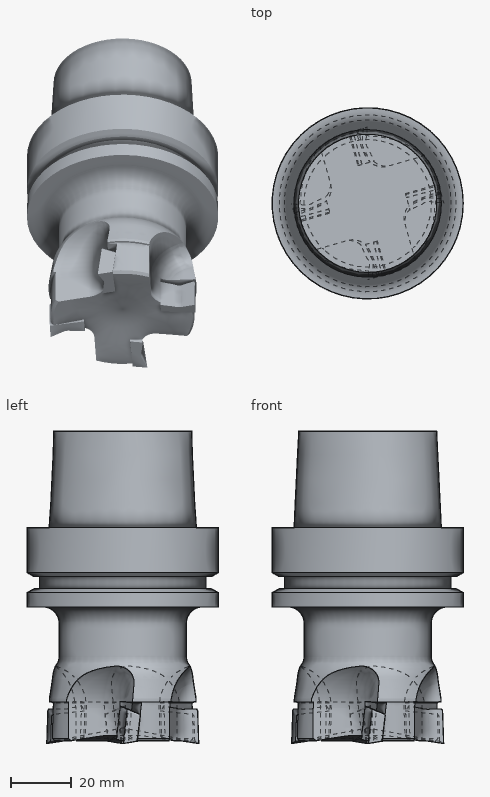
import cadquery as cq
import math

TOTAL_HEIGHT = 102.9
SHANK_TOP_RADIUS = 22.7
SHANK_BASE_RADIUS = 24.3
FLANGE_RADIUS = 63.0 / 2
FLANGE_TOP = 71.1
FLANGE_BOTTOM = 45.0
GROOVE_RADIUS = 55.0 / 2
GROOVE_SHOULDER_RADIUS = 29.1
GROOVE_TOP = 55.0
GROOVE_BOTTOM = 51.0
GROOVE_BEVEL_HEIGHT = 1.3
NECK_RADIUS = 42.0 / 2
NECK_FILLET_RADIUS = 52.5 / 2 - NECK_RADIUS
NECK_BOTTOM = 28.5

HEAD_TOP = 26.8
HEAD_TOP_RADIUS = 21.4
HEAD_FLARE_SAG = 0.1
DOME_MIDDLE = 24.2
DOME_MIDDLE_RADIUS = 22.7
DOME_BOTTOM = 21.2
DOME_BOTTOM_RADIUS = 23.5
RIM_TOP = 14.8
RIM_BOTTOM = 13.8
RIM_RADIUS = 24.4
HEAD_RADIUS = 23.7
HEAD_BOTTOM = 0.9
HEAD_CHAMFER = 0.8
DISH_HEIGHT = 5.1

TEETH = 4
POCKET_X = 11.0
POCKET_Y = -2.4
POCKET_TURN = 16.0
SIDE_WALL_LEAN = 7.0
POCKET_STRAIGHT = 11.6
RUNOUT_RADIUS = 14.4
POCKET_CORNER_RADIUS = 5.7
OVERCUT = 41.2

INSERT_INNER = 2.9
INSERT_OUTER = 14.2
INSERT_BACK = 3.3
LAND_RISE = 0.7
LAND_END = 7.3
RAKE_START = 9.7
RAKE_START_DEPTH = 0.2
BREAKER_MIDDLE_DEPTH = 0.3
TIP_RISE = 1.4
INSERT_HEIGHT = 11.5
RELIEF_ANGLE = 16.0
DISH_ANGLE = 6.0
TIP_FILLET = 0.8
SEAT_TOP = 13.9


def make_holder_blank():
    neck_top = FLANGE_BOTTOM - NECK_FILLET_RADIUS
    fillet_mid = NECK_FILLET_RADIUS * (1 - math.sqrt(0.5))
    flare_middle = ((NECK_RADIUS + HEAD_TOP_RADIUS) / 2 - HEAD_FLARE_SAG,
                    (NECK_BOTTOM + HEAD_TOP) / 2)
    return (
        cq.Workplane("XZ")
        .moveTo(0, TOTAL_HEIGHT)
        .lineTo(SHANK_TOP_RADIUS, TOTAL_HEIGHT)
        .lineTo(SHANK_BASE_RADIUS, FLANGE_TOP)
        .lineTo(FLANGE_RADIUS, FLANGE_TOP)
        .lineTo(FLANGE_RADIUS, GROOVE_TOP + GROOVE_BEVEL_HEIGHT)
        .lineTo(GROOVE_SHOULDER_RADIUS, GROOVE_TOP)
        .lineTo(GROOVE_RADIUS, GROOVE_TOP)
        .lineTo(GROOVE_RADIUS, GROOVE_BOTTOM)
        .lineTo(GROOVE_SHOULDER_RADIUS, GROOVE_BOTTOM)
        .lineTo(FLANGE_RADIUS, GROOVE_BOTTOM - GROOVE_BEVEL_HEIGHT)
        .lineTo(FLANGE_RADIUS, FLANGE_BOTTOM)
        .lineTo(NECK_RADIUS + NECK_FILLET_RADIUS, FLANGE_BOTTOM)
        .threePointArc((NECK_RADIUS + fillet_mid, FLANGE_BOTTOM - fillet_mid), (NECK_RADIUS, neck_top))
        .lineTo(NECK_RADIUS, NECK_BOTTOM)
        .threePointArc(flare_middle, (HEAD_TOP_RADIUS, HEAD_TOP))
        .threePointArc((DOME_MIDDLE_RADIUS, DOME_MIDDLE), (DOME_BOTTOM_RADIUS, DOME_BOTTOM))
        .lineTo(RIM_RADIUS, RIM_TOP)
        .lineTo(RIM_RADIUS, RIM_BOTTOM)
        .lineTo(HEAD_RADIUS, RIM_BOTTOM)
        .lineTo(HEAD_RADIUS, HEAD_BOTTOM + HEAD_CHAMFER)
        .lineTo(HEAD_RADIUS - HEAD_CHAMFER, HEAD_BOTTOM)
        .lineTo(0, DISH_HEIGHT)
        .close()
        .revolve(360, (0, 0), (0, 1))
    )


def lean(shape):
    """Tip a shape in the tooth frame so that it follows the side wall."""
    return shape.rotate((0, 0, 0), (1, 0, 0), -SIDE_WALL_LEAN)


def make_pocket_cut():
    """Chip pocket: flat floor that curves outward at the top, rounded into a leaning side wall."""
    arc_mid = RUNOUT_RADIUS * (1 - math.sqrt(0.5))
    pocket_top = POCKET_STRAIGHT + RUNOUT_RADIUS
    pocket = (
        cq.Workplane("XZ")
        .moveTo(0, -OVERCUT)
        .lineTo(0, POCKET_STRAIGHT)
        .threePointArc((arc_mid, pocket_top - arc_mid), (RUNOUT_RADIUS, pocket_top))
        .lineTo(OVERCUT, pocket_top)
        .lineTo(OVERCUT, -OVERCUT)
        .close()
        .extrude(OVERCUT, both=True)
    )
    beside_wall = cq.Workplane("XY").box(
        4 * OVERCUT, 2 * OVERCUT, 4 * OVERCUT, centered=(True, False, True)
    ).translate((0, -2 * OVERCUT, 0))
    pocket = pocket.intersect(lean(beside_wall))
    side_wall = pocket.faces(">Y")
    floor_corner = side_wall.edges("not(<Z or >X)")
    return floor_corner.fillet(POCKET_CORNER_RADIUS)


def make_seat_cut():
    """Recess in the side wall that holds the insert and is open below and outward."""
    return cq.Workplane("XY").box(
        OVERCUT, INSERT_BACK + POCKET_CORNER_RADIUS, SEAT_TOP + OVERCUT, centered=False
    ).translate((INSERT_INNER, -POCKET_CORNER_RADIUS, -OVERCUT))


def make_insert_blank():
    """Plate with a sloping land, a hollow chip breaker and a rake face rising to the cutting edge."""
    plate = (
        cq.Workplane("XY", origin=(0, 0, -OVERCUT))
        .moveTo(INSERT_INNER, INSERT_BACK)
        .lineTo(INSERT_INNER, -LAND_RISE)
        .lineTo(LAND_END, 0)
        .threePointArc(((LAND_END + RAKE_START) / 2, BREAKER_MIDDLE_DEPTH), (RAKE_START, RAKE_START_DEPTH))
        .lineTo(INSERT_OUTER, -TIP_RISE)
        .lineTo(INSERT_OUTER, INSERT_BACK)
        .close()
        .extrude(2 * OVERCUT)
    )
    relief = (INSERT_BACK + TIP_RISE) * math.tan(math.radians(RELIEF_ANGLE))
    tip_bottom = -TIP_RISE * math.tan(math.radians(SIDE_WALL_LEAN))
    between_ends = (
        cq.Workplane("YZ", origin=(-OVERCUT, 0, 0))
        .polyline([
            (-TIP_RISE, 0),
            (INSERT_BACK, relief),
            (INSERT_BACK, INSERT_HEIGHT - relief),
            (-TIP_RISE, INSERT_HEIGHT),
        ])
        .close()
        .extrude(2 * OVERCUT)
        .rotate((0, 0, 0), (0, 1, 0), DISH_ANGLE)
        .translate((INSERT_OUTER, 0, tip_bottom))
    )
    insert = plate.intersect(between_ends)
    return insert.faces(">X").edges(">Z").fillet(TIP_FILLET)


def place_on_head(shape, tooth):
    """Move a shape from the tooth frame to the given tooth of the head."""
    origin = (0, 0, 0)
    return (
        shape.rotate(origin, (0, 0, 1), POCKET_TURN)
        .translate((POCKET_X, POCKET_Y, 0))
        .rotate(origin, (0, 0, 1), tooth * 360 / TEETH)
    )


holder = make_holder_blank()
pocket_cut = make_pocket_cut()
seat_cut = lean(make_seat_cut())
insert_blank = lean(make_insert_blank())
inserts = []
for tooth in range(TEETH):
    holder = holder.cut(place_on_head(pocket_cut, tooth))
    holder = holder.cut(place_on_head(seat_cut, tooth))
    inserts.append(place_on_head(insert_blank, tooth))

result = cq.Compound.makeCompound([holder.val(), *[insert.val() for insert in inserts]])